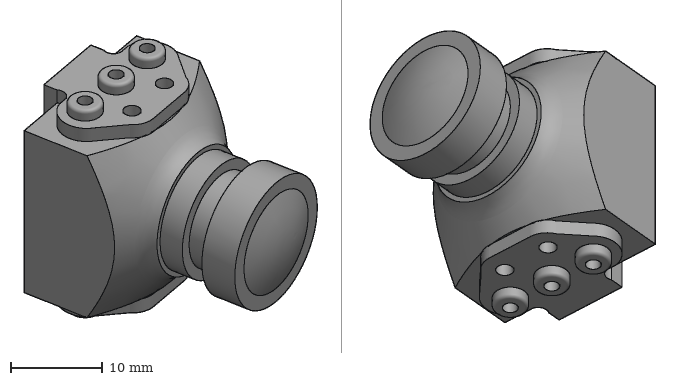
import cadquery as cq
import math

total_length = 29.03

housing_side = 21.8
housing_back = 1.75
half_side = housing_side / 2
corner_clearance = 0.58
cone_rim_x = 13.8
neck_start_x = 15.25
neck_start_radius = 9.12
neck_end_x = 17.25
neck_end_radius = 7.72

collar_diameter = 14.25
collar_end_x = 20.2
waist_diameter = 11.6
waist_end_x = 23.4
head_diameter = 16.0
head_end_x = 27.78
dome_rim_radius = 6.2

total_height = 28.0
boss_height = 1.34
plate_top = total_height / 2 - boss_height
plate_thickness = plate_top - half_side
strap_half_width = 4.55
ear_back_x = 3.48
ear_center_x = 6.7
ear_radius = 3.28
ear_end_x = 9.2
corner_start_x = 12.08
corner_center_y = 3.0
corner_radius = 2.75
notch_center = (2.38, 5.52)
notch_radius = 1.1
notch_end_y = 5.35

boss_diameter = 4.0
boss_x = 6.5
boss_pitch = 6.0
boss_round = 0.4
boss_hole_diameter = 1.75
plate_hole_diameter = 2.0
plate_hole_x = 10.77
plate_hole_y = 3.14


def make_camera():
    """Square housing, conical front and stepped lens as one turned shape trimmed square."""
    cone_run = neck_start_x - cone_rim_x
    cone_drop = half_side - neck_start_radius
    blank_radius = housing_side * math.sqrt(0.5) + corner_clearance
    blank_front_x = cone_rim_x - (blank_radius - half_side) * cone_run / cone_drop

    dome_height = total_length - head_end_x
    dome_radius = (dome_rim_radius**2 + dome_height**2) / (2 * dome_height)
    half_angle = math.asin(dome_rim_radius / dome_radius) / 2
    dome_mid = (
        total_length - dome_radius * (1 - math.cos(half_angle)),
        dome_radius * math.sin(half_angle),
    )

    turned = (
        cq.Workplane("XY")
        .moveTo(housing_back, 0)
        .lineTo(housing_back, blank_radius)
        .lineTo(blank_front_x, blank_radius)
        .lineTo(neck_start_x, neck_start_radius)
        .tangentArcPoint((neck_end_x, neck_end_radius), relative=False)
        .lineTo(neck_end_x, collar_diameter / 2)
        .lineTo(collar_end_x, collar_diameter / 2)
        .lineTo(collar_end_x, waist_diameter / 2)
        .lineTo(waist_end_x, waist_diameter / 2)
        .lineTo(waist_end_x, head_diameter / 2)
        .lineTo(head_end_x, head_diameter / 2)
        .lineTo(head_end_x, dome_rim_radius)
        .threePointArc(dome_mid, (total_length, 0))
        .close()
        .revolve(360, (0, 0, 0), (1, 0, 0))
    )
    square = cq.Workplane("XY").box(
        total_length, housing_side, housing_side, centered=(False, True, True)
    )
    return turned.intersect(square)


def arc_height(x, center_x, center_y, radius):
    """Y on the upper half of a circle at the given X."""
    return center_y + math.sqrt(radius**2 - (x - center_x) ** 2)


def make_half_plate():
    """The +Y half of the upper plate, without bosses or holes."""
    ear = (ear_center_x, boss_pitch, ear_radius)
    corner = (plate_hole_x, corner_center_y, corner_radius)
    notch_x, notch_y = notch_center
    corner_diagonal = corner_radius * math.sqrt(0.5)

    return (
        cq.Workplane("XY", origin=(0, 0, half_side))
        .lineTo(0, strap_half_width)
        .lineTo(housing_back, strap_half_width)
        .threePointArc((notch_x, notch_y - notch_radius), (ear_back_x, notch_end_y))
        .lineTo(ear_back_x, arc_height(ear_back_x, *ear))
        .threePointArc(
            (ear_center_x, boss_pitch + ear_radius),
            (ear_end_x, arc_height(ear_end_x, *ear)),
        )
        .lineTo(corner_start_x, arc_height(corner_start_x, *corner))
        .threePointArc(
            (plate_hole_x + corner_diagonal, corner_center_y + corner_diagonal),
            (plate_hole_x + corner_radius, corner_center_y),
        )
        .lineTo(plate_hole_x + corner_radius, 0)
        .close()
        .extrude(plate_thickness)
    )


def make_plate():
    """Upper plate with its three drilled bosses and two holes."""
    half_plate = make_half_plate()
    plate = half_plate.union(half_plate.mirror("XZ"))

    boss_points = [(boss_x, row * boss_pitch) for row in (-1, 0, 1)]
    hole_points = [(plate_hole_x, side * plate_hole_y) for side in (-1, 1)]
    bosses = (
        cq.Workplane("XY", origin=(0, 0, plate_top))
        .pushPoints(boss_points)
        .circle(boss_diameter / 2)
        .extrude(boss_height)
        .faces(">Z")
        .edges()
        .fillet(boss_round)
    )
    drilling = cq.Workplane("XY", origin=(0, 0, half_side))
    boss_holes = (
        drilling.pushPoints(boss_points)
        .circle(boss_hole_diameter / 2)
        .extrude(plate_thickness + boss_height)
    )
    plate_holes = (
        drilling.pushPoints(hole_points)
        .circle(plate_hole_diameter / 2)
        .extrude(plate_thickness)
    )
    return plate.union(bosses).cut(boss_holes).cut(plate_holes)


def make_bracket():
    """C-shaped bracket: the back strap joined to mirrored upper and lower plates."""
    strap = cq.Workplane("XY").box(
        housing_back, 2 * strap_half_width, 2 * plate_top, centered=(False, True, True)
    )
    plate = make_plate()
    return strap.union(plate).union(plate.mirror("XY")).clean()


camera = make_camera()
bracket = make_bracket()

result = cq.Compound.makeCompound([camera.solids().val(), bracket.solids().val()])